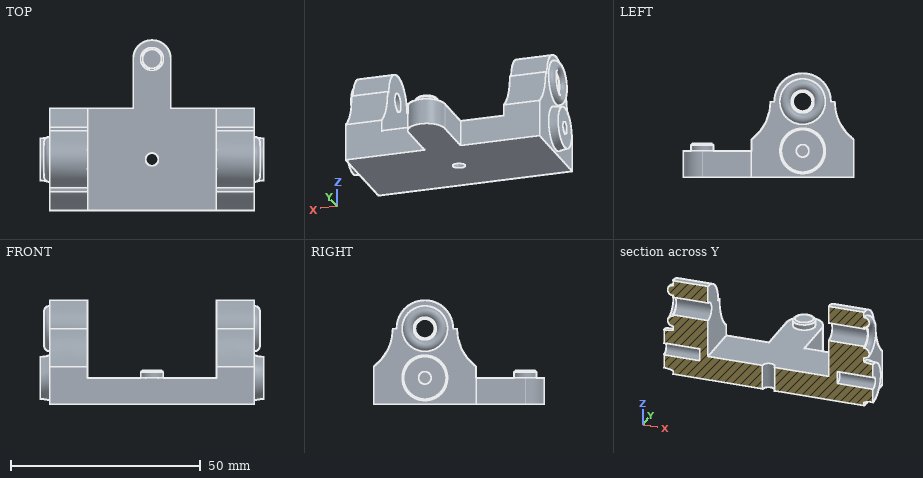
import cadquery as cq
import math

BODY_LENGTH = 54.0
BODY_WIDTH = 27.0
FLOOR_HEIGHT = 7.0
CENTRE_HOLE_DIAMETER = 3.3

ARM_THICKNESS = 10.0
SHOULDER_HEIGHT = 10.0
AXLE_HEIGHT = 20.0
DOME_RADIUS = 7.5
LEDGE_WIDTH = 1.0
FLANK_MID_HALF_WIDTH = 10.0
FLANK_MID_HEIGHT = 14.0
AXLE_HOLE_DIAMETER = 5.0

RING_OUTER_DIAMETER = 12.0
RING_INNER_DIAMETER = 6.0

BOSS_HEIGHT = 7.0
BOSS_PROJECTION = 2.5
BOSS_ROOT_RADIUS = 6.0
BOSS_TIP_RADIUS = 5.6
BOSS_HOLE_DIAMETER = 3.3
BOSS_HOLE_DEPTH = 10.0

TONGUE_WIDTH = 10.0
TONGUE_LENGTH = 18.0
PIN_DIAMETER = 6.0
PIN_HEIGHT = 2.0
PIN_CHAMFER = 0.5

HALF_LENGTH = BODY_LENGTH / 2
HALF_WIDTH = BODY_WIDTH / 2
TONGUE_END_Y = HALF_WIDTH + TONGUE_LENGTH - TONGUE_WIDTH / 2


def make_floor_plate():
    """Floor plate between the inner faces of the two arms."""
    length = BODY_LENGTH - 2 * ARM_THICKNESS
    return cq.Workplane("XY").box(length, BODY_WIDTH, FLOOR_HEIGHT, centered=(True, True, False))


def make_arm():
    """Arm at the +X end: domed top, small ledges and concave flanks, as a Y-Z outline."""
    flank_top = DOME_RADIUS + LEDGE_WIDTH
    plus_y_flank = [(FLANK_MID_HALF_WIDTH, FLANK_MID_HEIGHT), (flank_top, AXLE_HEIGHT)]
    minus_y_flank = [(-FLANK_MID_HALF_WIDTH, FLANK_MID_HEIGHT), (-HALF_WIDTH, SHOULDER_HEIGHT)]
    return (
        cq.Workplane("YZ", origin=(HALF_LENGTH - ARM_THICKNESS, 0, 0))
        .moveTo(-HALF_WIDTH, 0)
        .lineTo(HALF_WIDTH, 0)
        .lineTo(HALF_WIDTH, SHOULDER_HEIGHT)
        .spline(plus_y_flank, includeCurrent=True)
        .lineTo(DOME_RADIUS, AXLE_HEIGHT)
        .threePointArc((0, AXLE_HEIGHT + DOME_RADIUS), (-DOME_RADIUS, AXLE_HEIGHT))
        .lineTo(-flank_top, AXLE_HEIGHT)
        .spline(minus_y_flank, includeCurrent=True)
        .close()
        .extrude(ARM_THICKNESS)
    )


def revolve_about_x(profile, height):
    """Full turn of a local X-Z profile about the X-parallel axis at the given height."""
    return profile.close().revolve(360, (0, 0), (1, 0)).translate((HALF_LENGTH, 0, height))


def make_ring():
    """Half torus standing on the outer face of the +X arm."""
    outer = RING_OUTER_DIAMETER / 2
    inner = RING_INNER_DIAMETER / 2
    middle = (outer + inner) / 2
    projection = (outer - inner) / 2
    profile = cq.Workplane("XZ").moveTo(0, inner).threePointArc((projection, middle), (0, outer))
    return revolve_about_x(profile, AXLE_HEIGHT)


def make_boss():
    """Boss on the +X arm whose side flares toward the arm and runs straight out at the tip."""
    flare = BOSS_ROOT_RADIUS - BOSS_TIP_RADIUS
    arc_radius = (BOSS_PROJECTION**2 + flare**2) / (2 * flare)
    half_angle = math.asin(BOSS_PROJECTION / arc_radius) / 2
    arc_middle = (
        BOSS_PROJECTION - arc_radius * math.sin(half_angle),
        BOSS_TIP_RADIUS + arc_radius * (1 - math.cos(half_angle)),
    )
    profile = (
        cq.Workplane("XZ")
        .lineTo(BOSS_PROJECTION, 0)
        .lineTo(BOSS_PROJECTION, BOSS_TIP_RADIUS)
        .threePointArc(arc_middle, (0, BOSS_ROOT_RADIUS))
    )
    return revolve_about_x(profile, BOSS_HEIGHT)


def make_hole_along_x(start_x, height, diameter, depth):
    """Cylinder to cut inward (toward -X) from start_x."""
    return (
        cq.Workplane("YZ", origin=(start_x, 0, height))
        .circle(diameter / 2)
        .extrude(-depth)
    )


def make_end():
    """Complete +X end: arm, ring and boss with their holes."""
    axle_hole = make_hole_along_x(HALF_LENGTH, AXLE_HEIGHT, AXLE_HOLE_DIAMETER, ARM_THICKNESS)
    boss_hole = make_hole_along_x(
        HALF_LENGTH + BOSS_PROJECTION, BOSS_HEIGHT, BOSS_HOLE_DIAMETER, BOSS_HOLE_DEPTH
    )
    end = make_arm().union(make_ring()).union(make_boss())
    return end.cut(axle_hole).cut(boss_hole)


def make_tongue():
    """Round-ended tongue, level with the floor plate, carrying the chamfered pin."""
    half_tongue = TONGUE_WIDTH / 2
    tongue = (
        cq.Workplane("XY")
        .moveTo(-half_tongue, 0)
        .lineTo(half_tongue, 0)
        .lineTo(half_tongue, TONGUE_END_Y)
        .threePointArc((0, TONGUE_END_Y + half_tongue), (-half_tongue, TONGUE_END_Y))
        .close()
        .extrude(FLOOR_HEIGHT)
    )
    pin = (
        cq.Workplane("XY", origin=(0, TONGUE_END_Y, FLOOR_HEIGHT))
        .circle(PIN_DIAMETER / 2)
        .extrude(PIN_HEIGHT)
        .faces(">Z")
        .chamfer(PIN_CHAMFER)
    )
    return tongue.union(pin)


right_end = make_end()
left_end = right_end.mirror("YZ")
centre_hole = cq.Workplane("XY").circle(CENTRE_HOLE_DIAMETER / 2).extrude(FLOOR_HEIGHT)
floor = make_floor_plate().union(make_tongue()).cut(centre_hole)
result = floor.union(right_end).union(left_end)